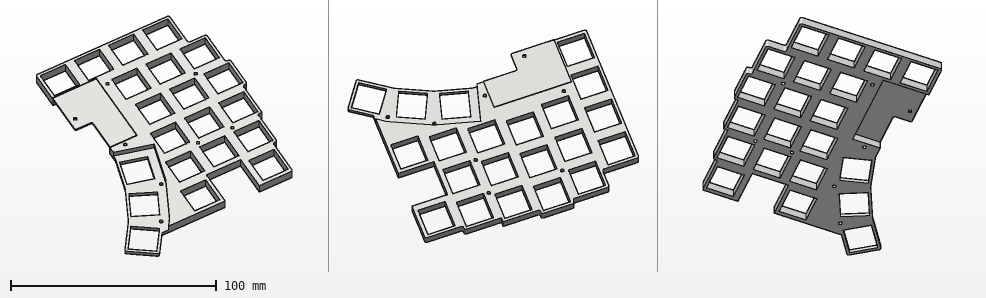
import cadquery as cq
import math


PLATE_HEIGHT = 5.2
LID_TOP = 5.7
LID_THICKNESS = 1.0
THUMB_HEIGHT = 2.2

OPENING = 14.0
RIM = 1.5
KEY_PITCH = 19.1
CORNER_RADIUS = 1.0

COLUMN_FRONTS = [1.7, 11.8, 14.3, 11.8, 9.5, 7.1]
BACK_ROW = 3
COLUMN_ROWS = [(0, 1, 2, 3), (1, 2, 3), (1, 2, 3), (1, 2, 3), (1, 2, 3), (1, 3)]
RIGHT_SIDE = 112.8
SIDE_NOTCH_WIDTH = 18.5
SIDE_NOTCH_BOTTOM = 42.1

LID_LEFT = 16.6
LID_RIGHT = 56.7
LID_BACK = 24.5
LID_OVERLAP = 0.5
FRONT_NOTCH_LEFT = 39.1
FRONT_NOTCH_HEIGHT = 9.5

THUMB_KEYS = [(73.5, 15.3, 15), (93.2, 8.0, 25), (111.6, -2.7, 35)]
THUMB_HALF = OPENING / 2 + RIM
THUMB_CLEARANCE = 11.5

SCREW_DIAMETER = 1.6
SCREW_CENTRES = [
    (37.5, 68.2), (75.3, 67.3), (75.0, 48.2), (21.8, 27.8),
    (58.7, 16.9), (33.2, 3.3), (86.5, 21.3), (106.4, 10.0),
]

EXTRA = 6.2
SAME_PLACE = 0.01
WHOLE_PART = 135.3


def column_left(column):
    """Left side of the openings in a column."""
    return RIM + column * KEY_PITCH


def column_right(column):
    return column_left(column) + OPENING


def opening_front(column, row):
    return COLUMN_FRONTS[column] + row * KEY_PITCH


def column_top(column):
    """Outer back side of the plate behind a column."""
    return opening_front(column, BACK_ROW) + OPENING + RIM


def thumb_point(key, across, along):
    """Point given in the turned axes of a thumb key."""
    x, y, turn = key
    angle = math.radians(turn)
    return (
        x + across * math.cos(angle) + along * math.sin(angle),
        y - across * math.sin(angle) + along * math.cos(angle),
    )


def thumb_line_at_x(key, along, x):
    """Point at x on the line that runs along a thumb key, offset from its centre."""
    px, py = thumb_point(key, 0, along)
    return (x, py - (x - px) * math.tan(math.radians(key[2])))


def thumb_line_at_y(key, along, y):
    px, py = thumb_point(key, 0, along)
    return (px - (y - py) / math.tan(math.radians(key[2])), y)


def thumb_lines_meet(first, second, along):
    """Point where the offset lines of two neighbouring thumb keys cross."""
    x1, y1 = thumb_point(first, 0, along)
    x2, y2 = thumb_point(second, 0, along)
    slope1 = -math.tan(math.radians(first[2]))
    slope2 = -math.tan(math.radians(second[2]))
    x = (y2 - y1 + slope1 * x1 - slope2 * x2) / (slope1 - slope2)
    return (x, y1 + slope1 * (x - x1))


def prism(points, bottom, top):
    return cq.Workplane("XY").workplane(offset=bottom).polyline(points).close().extrude(top - bottom)


def box(left, right, front, back, bottom, top):
    return prism([(left, front), (right, front), (right, back), (left, back)], bottom, top)


def outline_body(height):
    """Full outline of the part; corners flagged True are rounded."""
    inner, middle, outer = THUMB_KEYS
    step_2 = column_left(1) - RIM
    step_3 = column_left(2) - RIM
    step_4 = column_right(2) + RIM
    step_5 = column_right(3) + RIM
    step_6 = column_right(4) + RIM
    notch_top = SIDE_NOTCH_BOTTOM + KEY_PITCH
    corners = [
        ((0, 0), True),
        ((0, column_top(0)), True),
        ((step_2, column_top(0)), True),
        ((step_2, column_top(1)), True),
        ((step_3, column_top(1)), True),
        ((step_3, column_top(2)), True),
        ((step_4, column_top(2)), True),
        ((step_4, column_top(3)), True),
        ((step_5, column_top(3)), False),
        ((step_5, column_top(4)), False),
        ((step_6, column_top(4)), True),
        ((step_6, column_top(5)), True),
        ((RIGHT_SIDE, column_top(5)), True),
        ((RIGHT_SIDE, notch_top), False),
        ((RIGHT_SIDE - SIDE_NOTCH_WIDTH, notch_top), False),
        ((RIGHT_SIDE - SIDE_NOTCH_WIDTH, SIDE_NOTCH_BOTTOM), False),
        ((RIGHT_SIDE, SIDE_NOTCH_BOTTOM), False),
        (thumb_line_at_x(outer, THUMB_HALF, RIGHT_SIDE), False),
        (thumb_point(outer, THUMB_HALF, THUMB_HALF), True),
        (thumb_point(outer, THUMB_HALF, -THUMB_HALF), True),
        (thumb_lines_meet(middle, outer, -THUMB_HALF), False),
        (thumb_lines_meet(inner, middle, -THUMB_HALF), False),
        (thumb_line_at_y(inner, -THUMB_HALF, FRONT_NOTCH_HEIGHT), False),
        ((FRONT_NOTCH_LEFT, FRONT_NOTCH_HEIGHT), True),
        ((FRONT_NOTCH_LEFT, 0), True),
    ]
    body = prism([point for point, _ in corners], 0, height)
    rounded = [point for point, is_round in corners if is_round]

    def is_rounded(edge):
        centre = edge.Center()
        return any(math.dist((centre.x, centre.y), point) < SAME_PLACE for point in rounded)

    return body.edges("|Z").filter(is_rounded).fillet(CORNER_RADIUS)


def outside_lid():
    """Everything above the plate except the lid."""
    above = box(-WHOLE_PART, WHOLE_PART, -WHOLE_PART, WHOLE_PART, PLATE_HEIGHT, LID_TOP + EXTRA)
    return above.cut(box(LID_LEFT, LID_RIGHT, -EXTRA, LID_BACK, 0, LID_TOP + EXTRA))


def lid_pocket():
    """Space under the lid, open at the front."""
    return box(
        LID_LEFT + LID_OVERLAP, LID_RIGHT - LID_OVERLAP,
        -EXTRA, LID_BACK - LID_OVERLAP,
        -EXTRA, LID_TOP - LID_THICKNESS,
    )


def thumb_recess():
    """Space above the lowered thumb keys."""
    inner, middle, outer = THUMB_KEYS
    reach = THUMB_HALF + EXTRA
    points = [
        thumb_point(inner, -THUMB_CLEARANCE, -reach),
        thumb_point(inner, -THUMB_CLEARANCE, THUMB_CLEARANCE),
        thumb_lines_meet(inner, middle, THUMB_CLEARANCE),
        thumb_lines_meet(middle, outer, THUMB_CLEARANCE),
        thumb_point(outer, reach, THUMB_CLEARANCE),
        thumb_point(outer, reach, -reach),
    ]
    return prism(points, THUMB_HEIGHT, LID_TOP + EXTRA)


def key_openings():
    cutter = cq.Workplane("XY")
    for column, rows in enumerate(COLUMN_ROWS):
        left = column_left(column)
        for row in rows:
            front = opening_front(column, row)
            cutter = cutter.add(box(left, left + OPENING, front, front + OPENING, -EXTRA, LID_TOP + EXTRA))
    half = OPENING / 2
    for key in THUMB_KEYS:
        signs = [(-1, -1), (1, -1), (1, 1), (-1, 1)]
        points = [thumb_point(key, half * across, half * along) for across, along in signs]
        cutter = cutter.add(prism(points, -EXTRA, LID_TOP + EXTRA))
    return cutter.combine()


def screw_holes():
    holes = cq.Workplane("XY").workplane(offset=-EXTRA).pushPoints(SCREW_CENTRES)
    return holes.circle(SCREW_DIAMETER / 2).extrude(LID_TOP + 2 * EXTRA)


result = (
    outline_body(LID_TOP)
    .cut(outside_lid())
    .cut(lid_pocket())
    .cut(thumb_recess())
    .cut(key_openings())
    .cut(screw_holes())
)